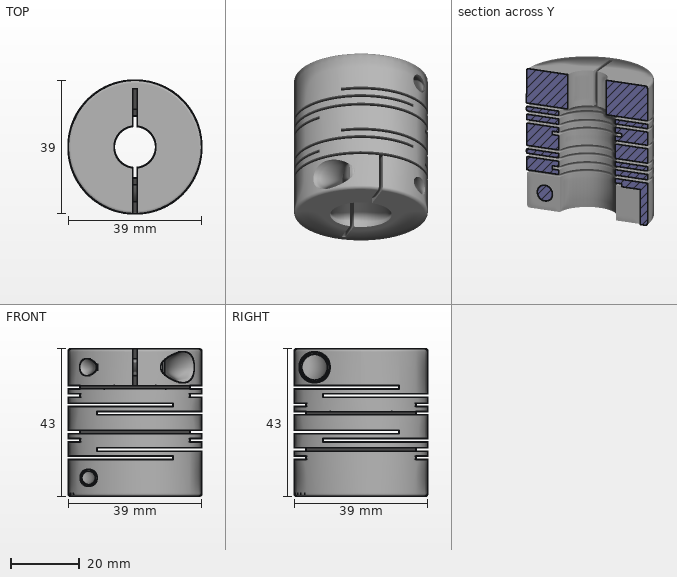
import cadquery as cq


length = 43.0
body_diameter = 39.0
body_radius = body_diameter / 2
rim_fillet = 0.85
mid_height = length / 2
cutter_size = 2 * length

slot_width = 0.9
slot_reach = 11.05
outer_slot_offset = 10.28
slot_pitch = 2.4
pair_pitch = 5.1

hub_depth = mid_height - outer_slot_offset - slot_width / 2
upper_bore_radius = 6.0
lower_bore_radius = 9.0
slit_width = 1.2
slit_reach = 17.0

screw_offset = 13.5
screw_height = length - hub_depth / 2
screw_radius = 2.5
screw_tip_x = -11.3
tip_chamfer = 0.5
head_radius = 4.25
head_top_x = 8.65
head_height = 5.0
head_chamfer = 0.5
head_seat_x = head_top_x - head_height
counterbore_radius = 4.5


def x_cylinder(radius, start_x, end_x):
    """Cylinder on the upper screw axis, between two X positions."""
    return (
        cq.Workplane("YZ", origin=(start_x, -screw_offset, screw_height))
        .circle(radius)
        .extrude(end_x - start_x)
    )


def flexure_slot(open_side, height):
    """Slab that enters from one side and stops past the axis, leaving a web opposite."""
    angle = {"-X": 0, "-Y": 90, "+X": 180, "+Y": 270}[open_side]
    return (
        cq.Workplane("XY")
        .box(cutter_size, cutter_size, slot_width)
        .translate((slot_reach - cutter_size / 2, 0, height))
        .rotate((0, 0, 0), (0, 0, 1), angle)
    )


def clamp_slit():
    """Radial slit of the upper hub, open at -Y and blind at +Y."""
    return cq.Workplane("XY").box(slit_width, cutter_size, hub_depth).translate(
        (0, slit_reach - cutter_size / 2, length - hub_depth / 2)
    )


def screw_hole():
    """Threaded hole open at -X, and the head counterbore open at +X."""
    threaded = x_cylinder(screw_radius, -body_radius, head_seat_x)
    counterbore = x_cylinder(counterbore_radius, head_seat_x, body_radius)
    return threaded.union(counterbore)


def clamp_screw():
    """Cap screw seated in the counterbore, with chamfered tip and head."""
    shank = x_cylinder(screw_radius, screw_tip_x, head_seat_x).faces("<X").chamfer(tip_chamfer)
    head = x_cylinder(head_radius, head_seat_x, head_top_x).faces(">X").chamfer(head_chamfer)
    return shank.union(head)


def at_lower_hub(shape):
    """Turn an upper hub shape half a turn about the horizontal X = Y diagonal."""
    return shape.rotate((0, 0, mid_height), (0.45, 0.45, mid_height), 180)


result = cq.Workplane("XY").circle(body_radius).extrude(length).edges().fillet(rim_fillet)
result = result.cut(cq.Workplane("XY").circle(upper_bore_radius).extrude(length))
result = result.cut(cq.Workplane("XY").circle(lower_bore_radius).extrude(length - hub_depth))

inner_slot_offset = outer_slot_offset - pair_pitch
slot_pairs = [
    ("-Y", "+Y", mid_height + outer_slot_offset),
    ("-X", "+X", mid_height + inner_slot_offset),
    ("-Y", "+Y", mid_height - inner_slot_offset + slot_pitch),
    ("+X", "-X", mid_height - outer_slot_offset + slot_pitch),
]
for first_side, second_side, first_height in slot_pairs:
    result = result.cut(flexure_slot(first_side, first_height))
    result = result.cut(flexure_slot(second_side, first_height - slot_pitch))

hub_cut = clamp_slit().union(screw_hole())
screw = clamp_screw()
result = result.cut(hub_cut).cut(at_lower_hub(hub_cut))
result = result.union(screw).union(at_lower_hub(screw))